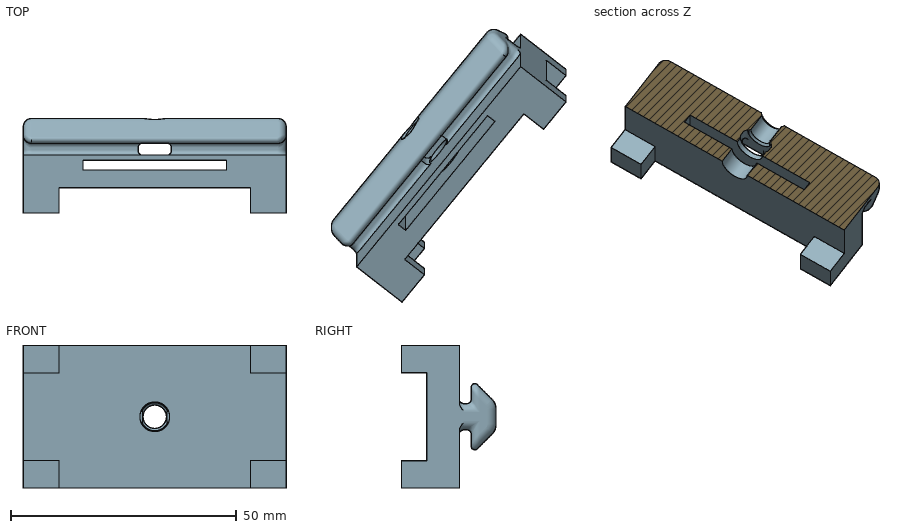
import cadquery as cq
length = 58.4
height = 31.7
overall_depth = 21.05
plate_thickness = 7.3
foot_length = 8.0
foot_height = 6.15

slot_length = 31.8
slot_gap = 1.2
slot_thickness = 2.1

rail_depth = 8.1
lip_gap = 2.55
stem_height = 5.85
face_height = 5.95
end_radius = 1.85
face_radius = 3.0
tip_radius = 0.8
neck_radius = 1.0
flare_radius = 1.2
flare_reach = 1.05
root_overlap = 0.6

bore_diameter = 6.6
head_bore_diameter = 5.15
head_bore_chamfer = 0.5
window_length = 7.3
window_radius = 0.9

foot_drop = overall_depth - rail_depth - plate_thickness

lip_half_height = face_height / 2 + rail_depth - lip_gap

seat_y = flare_reach - flare_radius
root_y = seat_y - root_overlap


def box(x_size, y_min, y_max, z_size):
    """Box centred on X and Z that spans y_min to y_max."""
    y_center = (y_min + y_max) / 2
    return cq.Workplane("XY").box(x_size, y_max - y_min, z_size).translate((0, y_center, 0))


def cutter_along_y(y_start, y_end, first_radius, last_radius):
    """Cylinder or cone around the Y axis."""
    outline = [(0, y_start), (first_radius, y_start), (last_radius, y_end), (0, y_end)]
    return cq.Workplane("XY").polyline(outline).close().revolve(360, (0, 0), (0, 1))


def fillet_long_edges(body, y, half_height, radius):
    """Round the two edges along X that lie at the given Y and at +/- half_height."""
    reach = 0.03
    z_low = half_height - reach
    z_high = half_height + reach
    upper = cq.selectors.BoxSelector((-length, y - reach, z_low), (length, y + reach, z_high))
    lower = cq.selectors.BoxSelector((-length, y - reach, -z_high), (length, y + reach, -z_low))
    return body.edges(upper + lower).fillet(radius)


def make_plate():
    plate = box(length, -plate_thickness, 0, height)
    foot = box(foot_length, -plate_thickness - foot_drop, -plate_thickness, foot_height)
    foot_x = (length - foot_length) / 2
    foot_z = (height - foot_height) / 2
    for x in (-foot_x, foot_x):
        for z in (-foot_z, foot_z):
            plate = plate.union(foot.translate((x, 0, z)))
    slot = box(slot_length, -slot_gap - slot_thickness, -slot_gap, height)
    return plate.cut(slot)


def make_rail():
    upper_half = [
        (root_y, stem_height / 2),
        (lip_gap, stem_height / 2),
        (lip_gap, lip_half_height),
        (rail_depth, face_height / 2),
    ]
    lower_half = [(y, -z) for y, z in reversed(upper_half)]
    profile = cq.Workplane("YZ").polyline(upper_half + lower_half).close()
    rail = profile.extrude(length / 2, both=True)

    rail = fillet_long_edges(rail, lip_gap, lip_half_height, tip_radius)
    rail = fillet_long_edges(rail, rail_depth, face_height / 2, face_radius)
    above_root = cq.selectors.BoxSelector((-length, seat_y, -height), (length, length, height))
    rail = rail.faces("<X or >X").edges(above_root).fillet(end_radius)
    rail = fillet_long_edges(rail, lip_gap, stem_height / 2, neck_radius)

    seat_length = length + 4 * flare_radius
    seat = box(seat_length, root_y, seat_y, height)
    rail = rail.union(seat)
    margin = 0.05
    seat_band = cq.selectors.BoxSelector(
        (-length / 2 - margin, seat_y - margin, -lip_half_height),
        (length / 2 + margin, seat_y + margin, lip_half_height),
    )
    rail = rail.edges(seat_band).fillet(flare_radius)
    return rail.intersect(box(length, root_y, rail_depth, height))


def cut_window(body):
    window = box(window_length, 0, lip_gap, height).edges("|Z").fillet(window_radius)
    return body.cut(window)


def cut_bore(body):
    plate_radius = bore_diameter / 2
    head_radius = head_bore_diameter / 2
    mouth_radius = head_radius + head_bore_chamfer
    body = body.cut(cutter_along_y(-plate_thickness, 0, plate_radius, plate_radius))
    body = body.cut(cutter_along_y(0, rail_depth, head_radius, head_radius))
    body = body.cut(cutter_along_y(lip_gap, lip_gap + head_bore_chamfer, mouth_radius, head_radius))
    return body.cut(cutter_along_y(rail_depth - head_bore_chamfer, rail_depth, head_radius, mouth_radius))


result = make_plate().union(make_rail())
result = cut_window(result)
result = cut_bore(result)